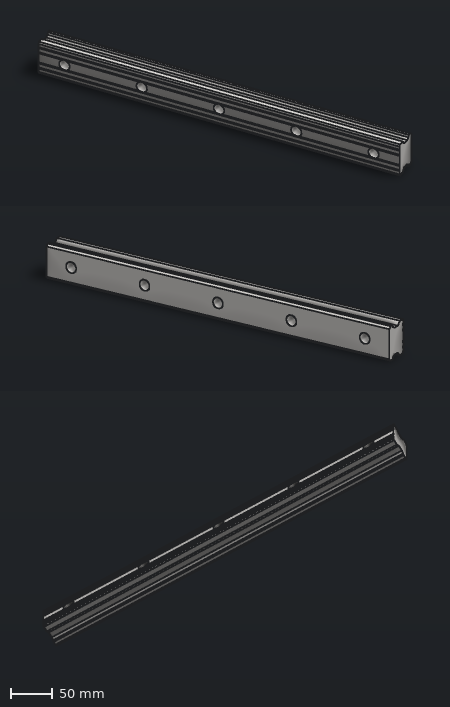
import cadquery as cq

length = 490.0
depth = 32.0
height = 45.0
half_depth = depth / 2
half_height = height / 2

front_chamfer_y = 1.5
front_chamfer_z = 2.5
back_chamfer = 3.0

raceway_depth = 5.0
back_lip_y = half_depth - 7.5
back_ledge_y = half_depth - 8.5
back_ledge_depth = 3.0
floor_back_y = half_depth - 12.0
floor_front_y = half_depth - 19.0
front_ledge_y = half_depth - 21.5
front_ledge_depth = 2.0
front_lip_y = half_depth - 23.5

face_groove_offsets = (7.5, 14.5)
face_groove_width = 1.5
face_groove_depth = 0.5

hole_count = 5
hole_pitch = 105.0
hole_diameter = 14.0
first_hole_from_end = 35.5


def rail_body():
    """Extrude the profile, symmetric about the XY plane."""
    upper = [
        (-half_depth, half_height - front_chamfer_z),
        (-half_depth + front_chamfer_y, half_height),
        (front_lip_y, half_height),
        (front_ledge_y, half_height - front_ledge_depth),
        (floor_front_y, half_height - raceway_depth),
        (floor_back_y, half_height - raceway_depth),
        (back_ledge_y, half_height - back_ledge_depth),
        (back_lip_y, half_height),
        (half_depth - back_chamfer, half_height),
        (half_depth, half_height - back_chamfer),
    ]
    lower = [(y, -z) for y, z in reversed(upper)]
    profile = cq.Workplane("YZ").polyline(upper + lower).close()
    return profile.extrude(length / 2, both=True)


def face_groove(z):
    """Full-length square-sided cutter along the front face at height z."""
    blank = cq.Workplane("XY").box(length, 2 * face_groove_depth, face_groove_width)
    return blank.translate((0, -half_depth, z))


def mounting_holes():
    """Round cutters along Y, spaced from the -X end."""
    first_x = -length / 2 + first_hole_from_end
    centers = [(first_x + i * hole_pitch, 0) for i in range(hole_count)]
    drill = cq.Workplane("XZ").pushPoints(centers).circle(hole_diameter / 2)
    return drill.extrude(depth, both=True)


result = rail_body()
for offset in face_groove_offsets:
    for side in (-1, 1):
        result = result.cut(face_groove(side * offset))
result = result.cut(mounting_holes())